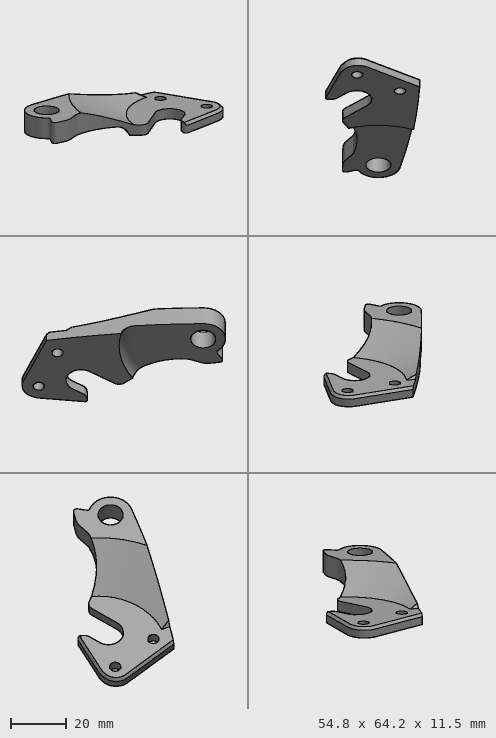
import cadquery as cq
import math

height = 11.5
plate_thickness = 4.0
pivot_underside = 3.5

pivot_hole_diameter = 9.0
boss_radius = 8.0
notch_angle = -56.5
notch_fillet = 1.0
tooth_tip = (8.05, -11.5)
tooth_tip_fillet = 1.2
tooth_back_angle = 30.0
tooth_back_radius = 6.35
neck_x = 11.55
neck_bottom_y = -3.75
neck_top_y = 0.9

left_edge_radius = 350.0
left_edge_angle = 22.0

neck_arc_middle = (13.65, 6.3)
concave_joint = (16.8, 11.0)
lip_arc_middle = (21.45, 15.3)
lip_arc_end = (28.0, 19.37)

plate_top_y = 53.63
plate_right_x = 46.8
plate_corner_radius = 6.1
right_edge_tilt = 15.0
horn_tip = (42.03, 27.95)
horn_tip_fillet = 0.9
edge_chamfer = 1.0
mount_hole_diameter = 4.0
mount_hole_centers = [(22.45, 47.5), (41.0, 47.5)]

slot_center = (32.5, 34.5)
slot_radius = 5.4
slot_tilt = 12.5
lip_corner_depth = 13.05
lip_fillet = 2.8
horn_round_radius = 3.25
horn_round_depth = 4.5
horn_round_end_angle = 236.0

ramp_axis = (40.6, 38.25)
ramp_inner_radius = 24.6
ramp_outer_radius = 45.3

facet_corner = (17.33, 46.38)
facet_heading = 162.0
facet_slope = 36.0

cove_radius = 5.0
cove_flat_radius = 25.5


def polar(center, radius, angle):
    """Point at a radius and an angle in degrees from a center."""
    a = math.radians(angle)
    return (center[0] + radius * math.cos(a), center[1] + radius * math.sin(a))


def slot_point(across, depth):
    """Point measured across the slot and along it toward its open end."""
    return polar(polar(slot_center, across, slot_tilt), depth, slot_tilt - 90)


notch_corner = polar((0, 0), boss_radius, notch_angle)
lip_corner = slot_point(-slot_radius, lip_corner_depth)


def make_blank():
    """Full-height body with the outline of the part."""
    boss_tangent = polar((0, 0), boss_radius, 180 - left_edge_angle)
    left_center = polar((0, 0), left_edge_radius - boss_radius, -left_edge_angle)
    plate_left_angle = 180 - math.degrees(math.asin((plate_top_y - left_center[1]) / left_edge_radius))
    plate_left = polar(left_center, left_edge_radius, plate_left_angle)
    left_middle = polar(left_center, left_edge_radius, (plate_left_angle + 180 - left_edge_angle) / 2)

    corner_center = (plate_right_x - plate_corner_radius, plate_top_y - plate_corner_radius)
    right_edge_rise = (plate_right_x - horn_tip[0]) / math.tan(math.radians(right_edge_tilt))
    right_edge_top = (plate_right_x, horn_tip[1] + right_edge_rise)

    horn_center = slot_point(slot_radius + horn_round_radius, horn_round_depth)
    horn_start_angle = 180 + slot_tilt
    horn_middle_angle = (horn_start_angle + horn_round_end_angle) / 2

    tooth_center = (neck_x - tooth_back_radius, neck_bottom_y)

    return (
        cq.Workplane("XY")
        .moveTo(*boss_tangent)
        .threePointArc(left_middle, plate_left)
        .lineTo(corner_center[0], plate_top_y)
        .threePointArc(polar(corner_center, plate_corner_radius, 45), (plate_right_x, corner_center[1]))
        .lineTo(*right_edge_top)
        .lineTo(*horn_tip)
        .lineTo(*polar(horn_center, horn_round_radius, horn_round_end_angle))
        .threePointArc(
            polar(horn_center, horn_round_radius, horn_middle_angle),
            slot_point(slot_radius, horn_round_depth),
        )
        .lineTo(*slot_point(slot_radius, 0))
        .threePointArc(slot_point(0, -slot_radius), slot_point(-slot_radius, 0))
        .lineTo(*lip_corner)
        .lineTo(*lip_arc_end)
        .threePointArc(lip_arc_middle, concave_joint)
        .threePointArc(neck_arc_middle, (neck_x, neck_top_y))
        .lineTo(neck_x, neck_bottom_y)
        .threePointArc(
            polar(tooth_center, tooth_back_radius, -tooth_back_angle / 2),
            polar(tooth_center, tooth_back_radius, -tooth_back_angle),
        )
        .lineTo(*tooth_tip)
        .lineTo(*notch_corner)
        .threePointArc(polar((0, 0), boss_radius, 180), boss_tangent)
        .close()
        .extrude(height)
    )


def round_corner(body, corner, radius):
    """Fillet the upright edge nearest to an outline corner."""
    point = (corner[0], corner[1], plate_thickness / 2)
    return body.edges("|Z").edges(cq.NearestToPointSelector(point)).fillet(radius)


def ramp_cutter():
    """Dish above the plate: flat floor and conical wall."""
    return (
        cq.Workplane("XZ")
        .moveTo(0, plate_thickness)
        .lineTo(ramp_inner_radius, plate_thickness)
        .lineTo(ramp_outer_radius, height)
        .lineTo(0, height)
        .close()
        .revolve(360, (0, 0, 0), (0, 1, 0))
        .translate((*ramp_axis, 0))
    )


def facet_cutter():
    """Wedge that clears the plate beyond the ramp and leaves the facet."""
    facet_run = (height - plate_thickness) / math.tan(math.radians(facet_slope))
    reach = plate_top_y - facet_corner[1] + plate_corner_radius
    half_length = facet_corner[0] + boss_radius
    return (
        cq.Workplane("YZ")
        .moveTo(0, plate_thickness)
        .lineTo(-facet_run, height)
        .lineTo(reach, height)
        .lineTo(reach, plate_thickness)
        .close()
        .extrude(half_length, both=True)
        .rotate((0, 0, 0), (0, 0, 1), facet_heading - 180)
        .translate((*facet_corner, 0))
    )


def cove_cutter():
    """Space below the arm: flat ceiling that curves down to the plate."""
    curve_center = (cove_flat_radius, pivot_underside - cove_radius)
    foot_angle = math.degrees(math.asin(-curve_center[1] / cove_radius))
    middle_angle = (foot_angle + 90) / 2
    return (
        cq.Workplane("XZ")
        .lineTo(0, pivot_underside)
        .lineTo(cove_flat_radius, pivot_underside)
        .threePointArc(
            polar(curve_center, cove_radius, middle_angle),
            polar(curve_center, cove_radius, foot_angle),
        )
        .close()
        .revolve(360, (0, 0, 0), (0, 1, 0))
    )


def chamfer_plate(body):
    """Chamfer the top edge, outer corner and right side of the plate."""
    margin = edge_chamfer / 2
    lower_corner = (facet_corner[0], horn_tip[1], plate_thickness - margin)
    upper_corner = (plate_right_x + margin, plate_top_y + margin, plate_thickness + margin)
    face_edges = body.edges(cq.selectors.BoxSelector(lower_corner, upper_corner))
    outer_edges = face_edges.filter(
        lambda edge: edge.Center().y > plate_top_y - margin or edge.Center().x > horn_tip[0]
    )
    return outer_edges.chamfer(edge_chamfer)


blank = make_blank()
blank = round_corner(blank, notch_corner, notch_fillet)
blank = round_corner(blank, tooth_tip, tooth_tip_fillet)
blank = round_corner(blank, lip_corner, lip_fillet)

arm = blank.cut(ramp_cutter()).cut(facet_cutter()).cut(cove_cutter())
arm = chamfer_plate(arm)
arm = round_corner(arm, horn_tip, horn_tip_fillet)

pivot_hole = cq.Workplane("XY").circle(pivot_hole_diameter / 2).extrude(height)
mount_holes = (
    cq.Workplane("XY").pushPoints(mount_hole_centers).circle(mount_hole_diameter / 2).extrude(height)
)
result = arm.cut(pivot_hole).cut(mount_holes)